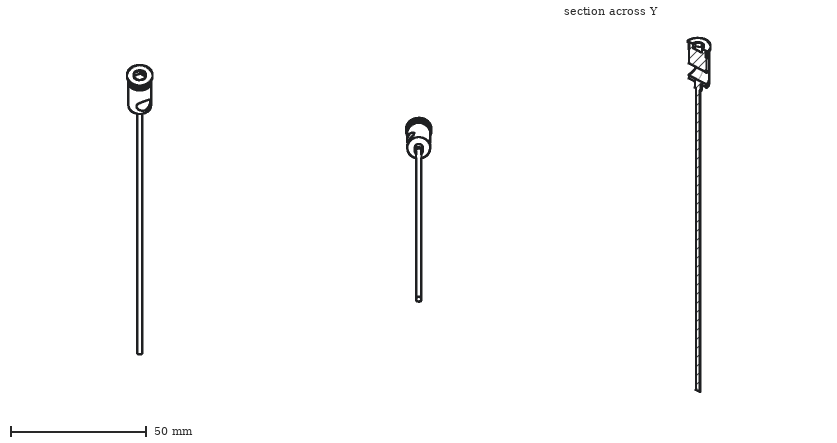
import cadquery as cq
import math

total_length = 168.0
lip_diameter = 9.5
ring_diameter = 8.8
body_diameter = 8.5
groove_diameter = 7.8
collar_diameter = 3.0
rod_diameter = 2.0

head_length = 18.0
collar_length = 3.0
lip_thickness = 0.5
lip_taper_length = 0.8
upper_ring_depth = 1.75
lower_ring_depth = 3.15
ring_thickness = 0.35
ring_taper_length = 0.25

cross_hole_diameter = 5.6
cross_hole_depth = 13.5
hex_across_flats = 4.0
hex_depth = 2.0
socket_rim_diameter = 4.65
socket_rim_depth = 0.2

head_bottom = total_length - head_length
collar_bottom = head_bottom - collar_length
lip_bottom = total_length - lip_thickness


def ring_outline(top_depth, radius_below):
    """Upward profile of a ring: taper out from the radius below it, short cylinder, flat top."""
    top = total_length - top_depth
    bottom = top - ring_thickness
    return [
        (radius_below, bottom - ring_taper_length),
        (ring_diameter / 2, bottom),
        (ring_diameter / 2, top),
        (groove_diameter / 2, top),
    ]


def turned_blank():
    """Revolve the rod, collar, body, two rings and tapered lip as one profile."""
    rod = rod_diameter / 2
    collar = collar_diameter / 2
    body = body_diameter / 2
    groove = groove_diameter / 2
    lip = lip_diameter / 2
    shank_outline = [
        (0, 0),
        (rod, 0),
        (rod, collar_bottom),
        (collar, collar_bottom),
        (collar, head_bottom),
        (body, head_bottom),
    ]
    lip_outline = [
        (groove, lip_bottom - lip_taper_length),
        (lip, lip_bottom),
        (lip, total_length),
        (0, total_length),
    ]
    lower_ring = ring_outline(lower_ring_depth, body)
    upper_ring = ring_outline(upper_ring_depth, groove)
    outline = shank_outline + lower_ring + upper_ring + lip_outline
    return cq.Workplane("XZ").polyline(outline).close().revolve(360, (0, 0, 0), (0, 1, 0))


def cross_hole():
    """Cylinder along X that pierces the body."""
    return (
        cq.Workplane("YZ")
        .center(0, total_length - cross_hole_depth)
        .circle(cross_hole_diameter / 2)
        .extrude(body_diameter, both=True)
    )


def hex_socket():
    """Hexagonal prism in the top face, with corners on the Y axis and flats facing X."""
    across_corners = hex_across_flats / math.cos(math.pi / 6)
    return (
        cq.Workplane("XY")
        .workplane(offset=total_length - hex_depth)
        .transformed(rotate=(0, 0, 90))
        .polygon(6, across_corners)
        .extrude(hex_depth)
    )


def socket_rim():
    """Conical lead-in that narrows from the top face down to the hexagon flats."""
    return (
        cq.Workplane("XY")
        .workplane(offset=total_length - socket_rim_depth)
        .circle(hex_across_flats / 2)
        .workplane(offset=socket_rim_depth)
        .circle(socket_rim_diameter / 2)
        .loft(ruled=True)
    )


result = turned_blank().cut(cross_hole()).cut(hex_socket()).cut(socket_rim())